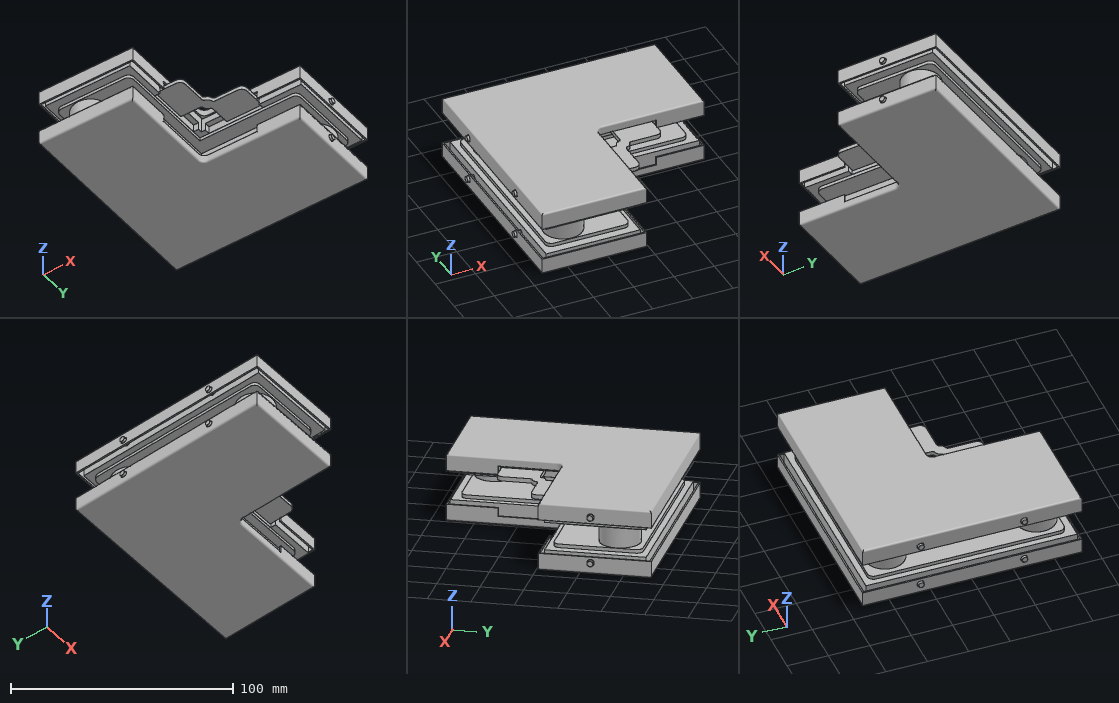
import cadquery as cq


cover_size = 106.0
arm_width = 52.0
cover_height = 8.0
cover_wall = 0.8
cover_edge_radius = 1.0
notch_radius = 3.0
window_length = 30.1
window_height = 4.0

plate_step = 1.4
plate_side_inset = 2.6
plate_end_inset = 1.3
slot_start = 2.2
slot_length = 29.9
slot_height = 4.0
slot_depth = 2.8

screw_diameter = 2.7
screw_hole_diameter = 3.2
screw_protrusion = 1.1
screw_drop = 5.1
screw_offsets = (28.0, 78.0)

gasket_thickness = 1.7
gasket_inset = 5.5
gasket_radius = 3.0

bushing_diameter = 19.0
bushing_length = 9.7
bushing_corner_offset = 17.5
bushing_end_offset = 15.5

latch_thickness = 2.1
leaf_start = 9.4
leaf_end = 29.0
leaf_reach = 9.1
leaf_radius = 3.0
neck_radius = 3.0
neck_fillet = 1.1

half = cover_size / 2
notch_x = arm_width - half
notch_y = half - arm_width
gasket_bottom = bushing_length / 2
plate_bottom = gasket_bottom + gasket_thickness
cover_bottom = plate_bottom + plate_step
cover_top = cover_bottom + cover_height
plate_top = cover_top - cover_wall
screw_z = cover_top - screw_drop
plate_notch_x = notch_x - plate_side_inset
plate_notch_y = notch_y + plate_side_inset
neck_offset = (leaf_start + leaf_reach) / 2
slot_top = plate_bottom + slot_height


def l_block(side_inset, end_inset, bottom, top):
    """L-shaped block, inset from the cover by side_inset and, at the arm ends, by end_inset."""
    outer = half - side_inset
    end = half - end_inset
    inner_x = notch_x - side_inset
    inner_y = notch_y + side_inset
    outline = [
        (-outer, outer), (end, outer), (end, inner_y),
        (inner_x, inner_y), (inner_x, -end), (-outer, -end),
    ]
    return cq.Workplane("XY").workplane(offset=bottom).polyline(outline).close().extrude(top - bottom)


def box(x_min, x_max, y_min, y_max, z_min, z_max):
    """Block between the given limits."""
    size = (x_max - x_min, y_max - y_min, z_max - z_min)
    return cq.Workplane("XY").box(*size, centered=False).translate((x_min, y_min, z_min))


def swap_arms(shape):
    """Mirror a shape across the diagonal of the L, from one arm to the other."""
    return shape.mirror((1, 1, 0))


def lower(shape):
    """Mirror a shape of the upper half into the lower half."""
    return shape.mirror("XY")


def screw_rods(diameter):
    """Rods on the screw axes, two at -X and one at +X, from the plate out to the screw tips."""
    tip = half + screw_protrusion
    left_length = plate_side_inset + screw_protrusion
    right_length = plate_end_inset + screw_protrusion
    places = [(half - offset, screw_z) for offset in screw_offsets]
    left = cq.Workplane("YZ").workplane(offset=-tip).pushPoints(places)
    left_rods = left.circle(diameter / 2).extrude(left_length)
    right = cq.Workplane("YZ").workplane(offset=tip).pushPoints(places[:1])
    right_rod = right.circle(diameter / 2).extrude(-right_length)
    return left_rods.add(right_rod)


def make_cover():
    """Upper cover: a shell open below, with a window through both notch walls."""
    cover = l_block(0, 0, cover_bottom, cover_top)
    notch_middle = (notch_x, notch_y, cover_bottom + cover_height / 2)
    cover = cover.edges(cq.selectors.NearestToPointSelector(notch_middle)).fillet(notch_radius)
    cover = cover.faces(">Z").edges().fillet(cover_edge_radius)
    cover = cover.cut(l_block(cover_wall, cover_wall, cover_bottom, plate_top))
    window = box(
        notch_x - cover_wall, notch_x + window_length,
        notch_y - window_length, notch_y + cover_wall,
        cover_bottom, cover_bottom + window_height,
    )
    cover = cover.cut(window)
    for rod in screw_rods(screw_hole_diameter).vals():
        cover = cover.cut(cq.Workplane(rod))
    return cover


def make_plate():
    """Clamp plate with its three set screws."""
    plate = l_block(plate_side_inset, plate_end_inset, plate_bottom, plate_top)
    for screw in screw_rods(screw_diameter).vals():
        plate = plate.union(cq.Workplane(screw))
    return plate


def cut_slots(plate):
    """Cut one slot for the latch into the notch side of each arm, open towards the gasket."""
    slot_x = plate_notch_x + slot_start
    slot = box(
        slot_x, slot_x + slot_length,
        plate_notch_y, plate_notch_y + slot_depth,
        plate_bottom, slot_top,
    )
    return plate.cut(slot).cut(swap_arms(slot))


def make_gasket():
    """Upper gasket, rounded at every corner but the one in the notch."""
    gasket = l_block(gasket_inset, gasket_inset, gasket_bottom, plate_bottom)
    sharp_corner = cq.selectors.NearestToPointSelector(
        (notch_x - gasket_inset, notch_y + gasket_inset, gasket_bottom + gasket_thickness / 2)
    )
    rounded_corners = cq.selectors.ParallelDirSelector(cq.Vector(0, 0, 1)) - sharp_corner
    return gasket.edges(rounded_corners).fillet(gasket_radius)


def make_bushings():
    """Bushings at the corner and near the end of each arm."""
    near = half - bushing_corner_offset
    far = half - bushing_end_offset
    places = [(-near, near), (far, near), (-near, -far)]
    start = cq.Workplane("XY").workplane(offset=-bushing_length / 2).pushPoints(places)
    return start.circle(bushing_diameter / 2).extrude(bushing_length)


def make_latch():
    """Latch: a leaf in the slot of each arm, joined by a round neck in the notch."""
    latch_bottom = slot_top - latch_thickness
    leaf = box(
        notch_x + leaf_start, notch_x + leaf_end,
        notch_y - leaf_reach, plate_notch_y + slot_depth,
        latch_bottom, slot_top,
    )
    leaf = leaf.edges("|Z and >X and <Y").fillet(leaf_radius)
    neck = (
        cq.Workplane("XY").workplane(offset=latch_bottom)
        .center(notch_x + neck_offset, notch_y - neck_offset)
        .circle(neck_radius).extrude(latch_thickness)
    )
    latch = leaf.union(swap_arms(leaf)).union(neck)
    reach = neck_radius + neck_fillet
    around_neck = cq.selectors.BoxSelector(
        (notch_x + neck_offset - reach, notch_y - neck_offset - reach, latch_bottom),
        (notch_x + neck_offset + reach, notch_y - neck_offset + reach, slot_top),
    )
    return latch.edges("|Z").edges(around_neck).fillet(neck_fillet)


cover = make_cover()
plate = make_plate()
gasket = make_gasket()
bushings = make_bushings()
latch = make_latch()

result = cq.Compound.makeCompound([
    cover.val(),
    lower(cover).val(),
    cut_slots(plate).val(),
    lower(plate).val(),
    gasket.val(),
    lower(gasket).val(),
    *bushings.vals(),
    latch.val(),
])